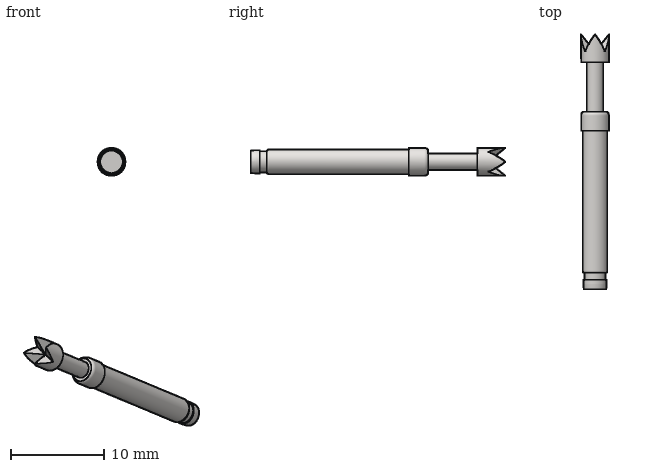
import cadquery as cq
import math

TOTAL_LENGTH = 27.3
TAIL_Y = -TOTAL_LENGTH / 2
TIP_Y = TOTAL_LENGTH / 2

CROWN_RADIUS = 1.5
CROWN_LENGTH = 3.0
NOTCH_DEPTH = 1.83
NOTCH_ANGLE = 45.0
NOTCH_OVERRUN = 0.27

SHANK_RADIUS = 0.9
SHANK_LENGTH = 5.27

COLLAR_RADIUS = CROWN_RADIUS
COLLAR_LENGTH = 2.07
COLLAR_RIM_RADIUS = 1.25
COLLAR_ROUND_LENGTH = 0.4

BARREL_RADIUS = 1.35
BARREL_RIM_RADIUS = 1.17
BARREL_ROUND_LENGTH = 0.25

NECK_RADIUS = 1.15
NECK_LENGTH = 0.75
BEAD_RADIUS = 1.25
BEAD_LENGTH = 1.0
BEAD_END_RADIUS = 1.2
BEAD_ROUND_LENGTH = 0.57

crown_base_y = TIP_Y - CROWN_LENGTH
collar_front_y = crown_base_y - SHANK_LENGTH
collar_rear_y = collar_front_y - COLLAR_LENGTH
bead_front_y = TAIL_Y + BEAD_LENGTH
barrel_rear_y = bead_front_y + NECK_LENGTH


def rounding_midpoint(rim_radius, rim_y, full_radius, tangent_y):
    """Midpoint of the arc that leaves a cylinder tangentially and ends on a smaller rim."""
    inset = full_radius - rim_radius
    length = rim_y - tangent_y
    arc_radius = (inset**2 + length**2) / (2 * inset)
    half_angle = math.asin(length / arc_radius) / 2
    mid_radius = full_radius - arc_radius * (1 - math.cos(half_angle))
    return (mid_radius, tangent_y + arc_radius * math.sin(half_angle))


def make_turned_body():
    """Revolve the half profile, with radius along X, about the Y axis."""
    collar_tangent_y = collar_front_y - COLLAR_ROUND_LENGTH
    barrel_tangent_y = barrel_rear_y + BARREL_ROUND_LENGTH
    bead_tangent_y = TAIL_Y + BEAD_ROUND_LENGTH
    collar_mid = rounding_midpoint(COLLAR_RIM_RADIUS, collar_front_y, COLLAR_RADIUS, collar_tangent_y)
    barrel_mid = rounding_midpoint(BARREL_RIM_RADIUS, barrel_rear_y, BARREL_RADIUS, barrel_tangent_y)
    bead_mid = rounding_midpoint(BEAD_END_RADIUS, TAIL_Y, BEAD_RADIUS, bead_tangent_y)
    return (
        cq.Workplane("XY")
        .moveTo(0, TIP_Y)
        .lineTo(CROWN_RADIUS, TIP_Y)
        .lineTo(CROWN_RADIUS, crown_base_y)
        .lineTo(SHANK_RADIUS, crown_base_y)
        .lineTo(SHANK_RADIUS, collar_front_y)
        .lineTo(COLLAR_RIM_RADIUS, collar_front_y)
        .threePointArc(collar_mid, (COLLAR_RADIUS, collar_tangent_y))
        .lineTo(COLLAR_RADIUS, collar_rear_y)
        .lineTo(BARREL_RADIUS, collar_rear_y)
        .lineTo(BARREL_RADIUS, barrel_tangent_y)
        .threePointArc(barrel_mid, (BARREL_RIM_RADIUS, barrel_rear_y))
        .lineTo(NECK_RADIUS, barrel_rear_y)
        .lineTo(NECK_RADIUS, bead_front_y)
        .lineTo(BEAD_RADIUS, bead_front_y)
        .lineTo(BEAD_RADIUS, bead_tangent_y)
        .threePointArc(bead_mid, (BEAD_END_RADIUS, TAIL_Y))
        .lineTo(0, TAIL_Y)
        .close()
        .revolve(360, (0, 0, 0), (0, 1, 0))
    )


def make_crown_notch(angle):
    """V groove across the crown, turned about Y; its top edges pass through the tooth tips."""
    half_width = CROWN_RADIUS * math.cos(math.radians(NOTCH_ANGLE))
    root_y = TIP_Y - NOTCH_DEPTH
    top_y = TIP_Y + NOTCH_OVERRUN
    top_half_width = half_width * (top_y - root_y) / NOTCH_DEPTH
    return (
        cq.Workplane("XY")
        .moveTo(0, root_y)
        .lineTo(top_half_width, top_y)
        .lineTo(-top_half_width, top_y)
        .close()
        .extrude(CROWN_RADIUS + NOTCH_OVERRUN, both=True)
        .rotate((0, 0, 0), (0, 1, 0), angle)
    )


result = make_turned_body()
for notch_angle in (NOTCH_ANGLE, -NOTCH_ANGLE):
    result = result.cut(make_crown_notch(notch_angle))